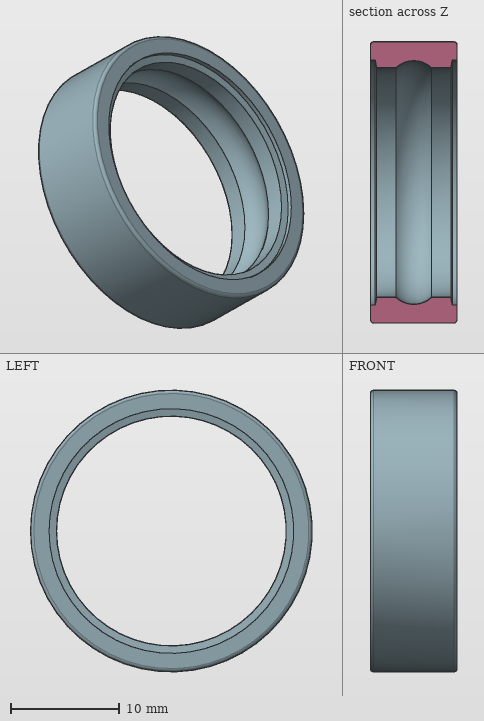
import cadquery as cq

outer_radius = 13.0
width = 8.0
edge_round = 0.3
bore_radius = 10.58
recess_radius = 11.28
recess_depth = 0.45
shoulder_slope = 0.13
raceway_width = 3.28
raceway_depth = 0.65

half_width = width / 2
recess_floor = half_width - recess_depth
shoulder = recess_floor - shoulder_slope
half_raceway = raceway_width / 2


def ring_body():
    """Ring with stepped recesses at both ends and a ball raceway."""
    profile = (
        cq.Workplane("XY")
        .moveTo(-half_width, outer_radius)
        .lineTo(half_width, outer_radius)
        .lineTo(half_width, recess_radius)
        .lineTo(recess_floor, recess_radius)
        .lineTo(shoulder, bore_radius)
        .lineTo(half_raceway, bore_radius)
        .threePointArc((0, bore_radius + raceway_depth), (-half_raceway, bore_radius))
        .lineTo(-shoulder, bore_radius)
        .lineTo(-recess_floor, recess_radius)
        .lineTo(-half_width, recess_radius)
        .close()
    )
    return profile.revolve(360, (0, 0, 0), (1, 0, 0))


def round_outer_edges(ring):
    """Round the outer rim at both ends."""
    rims = ring.faces("<X or >X").edges(cq.selectors.RadiusNthSelector(-1))
    return rims.fillet(edge_round)


result = round_outer_edges(ring_body())